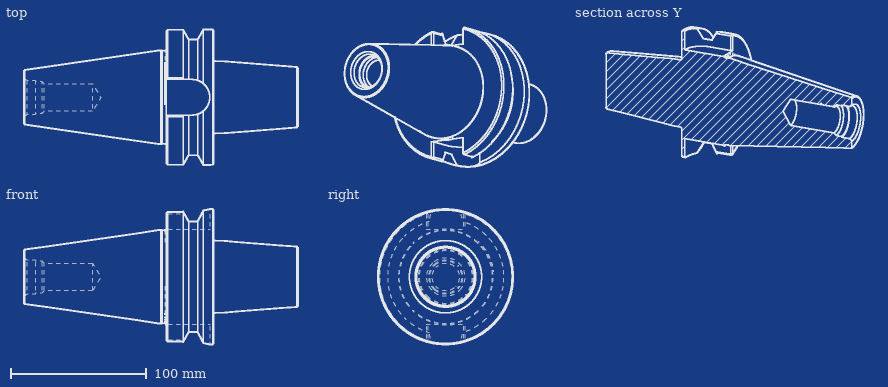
import cadquery as cq
import math

total_length = 201.8

gauge_x = 101.7
gauge_radius = 35.0
taper_slope = 7 / 48
taper_end_x = 100.7
small_end_chamfer = 0.6
relief_radius = 34.3
relief_ramp = 1.2
relief_root_fillet = 1.2

flange_start_x = 104.7
flange_end_x = 139.6
flange_radius = 49.95
front_rim_radius = 49.8
front_rim_chamfer = 1.2
back_rim_chamfer = 0.8
groove_radius = 42.8
groove_floor_start_x = 121.3
groove_floor_end_x = 128.0
groove_flank_slope = math.tan(math.radians(60))

nose_radius = 26.6
nose_straight_end_x = 146.5
nose_taper_angle = 4.5
nose_end_chamfer = 1.0
nose_root_fillet = 1.2

slot_half_width = 13.1
slot_end_x = 136.8
slot_floor_z = 35.1
slot_edge_chamfer = 1.2

mouth_radius = 14.1
mouth_chamfer_depth = 2.0
counterbore_radius = 12.5
counterbore_depth = 8.5
pilot_radius = 12.0
pilot_depth = 13.0
pilot_shoulder_length = 1.8
drill_radius = 10.0
drill_depth = 50.5
drill_tip_angle = 118

groove_front_x = groove_floor_start_x - (front_rim_radius - groove_radius) / groove_flank_slope
groove_back_x = groove_floor_end_x + (flange_radius - groove_radius) / groove_flank_slope
slot_top_z = flange_radius + 2.0


def taper_radius(x):
    """Radius of the long taper at position x."""
    return gauge_radius - (gauge_x - x) * taper_slope


def nose_radius_at(x):
    """Radius of the tapered stretch of the nose at position x."""
    return nose_radius - (x - nose_straight_end_x) * math.tan(math.radians(nose_taper_angle))


def make_body():
    """Revolve the outer profile: taper, flange with groove, nose."""
    nose_chamfer_x = total_length - nose_end_chamfer
    profile = (
        cq.Workplane("XY")
        .moveTo(0, 0)
        .lineTo(0, taper_radius(0) - small_end_chamfer)
        .lineTo(small_end_chamfer, taper_radius(small_end_chamfer))
        .lineTo(taper_end_x, taper_radius(taper_end_x))
        .lineTo(taper_end_x + relief_ramp, relief_radius)
        .lineTo(flange_start_x - relief_root_fillet, relief_radius)
        .radiusArc((flange_start_x, relief_radius + relief_root_fillet), -relief_root_fillet)
        .lineTo(flange_start_x, front_rim_radius - front_rim_chamfer)
        .lineTo(flange_start_x + front_rim_chamfer, front_rim_radius)
        .lineTo(groove_front_x, front_rim_radius)
        .lineTo(groove_floor_start_x, groove_radius)
        .lineTo(groove_floor_end_x, groove_radius)
        .lineTo(groove_back_x, flange_radius)
        .lineTo(flange_end_x - back_rim_chamfer, flange_radius)
        .lineTo(flange_end_x, flange_radius - back_rim_chamfer)
        .lineTo(flange_end_x, nose_radius + nose_root_fillet)
        .radiusArc((flange_end_x + nose_root_fillet, nose_radius), -nose_root_fillet)
        .lineTo(nose_straight_end_x, nose_radius)
        .lineTo(nose_chamfer_x, nose_radius_at(nose_chamfer_x))
        .lineTo(total_length, nose_radius_at(total_length) - nose_end_chamfer)
        .lineTo(total_length, 0)
        .close()
    )
    return profile.revolve(360, (0, 0, 0), (1, 0, 0))


def make_bore():
    """Revolve the stepped bore with its conical drill tip."""
    tip_depth = drill_depth + drill_radius / math.tan(math.radians(drill_tip_angle / 2))
    profile = (
        cq.Workplane("XY")
        .moveTo(0, 0)
        .lineTo(0, mouth_radius)
        .lineTo(mouth_chamfer_depth, counterbore_radius)
        .lineTo(counterbore_depth, counterbore_radius)
        .lineTo(counterbore_depth, pilot_radius)
        .lineTo(pilot_depth, pilot_radius)
        .lineTo(pilot_depth + pilot_shoulder_length, drill_radius)
        .lineTo(drill_depth, drill_radius)
        .lineTo(tip_depth, 0)
        .close()
    )
    return profile.revolve(360, (0, 0, 0), (1, 0, 0))


def make_slot():
    """Round-ended +Z driving slot with chamfers along its front and outer edges."""
    height = slot_top_z - slot_floor_z
    arc_center_x = slot_end_x - slot_half_width
    mouth_half_width = slot_half_width + slot_edge_chamfer
    channel = (
        cq.Workplane("XY")
        .workplane(offset=slot_floor_z)
        .moveTo(flange_start_x, -mouth_half_width)
        .lineTo(flange_start_x + slot_edge_chamfer, -slot_half_width)
        .lineTo(arc_center_x, -slot_half_width)
        .threePointArc((slot_end_x, 0), (arc_center_x, slot_half_width))
        .lineTo(flange_start_x + slot_edge_chamfer, slot_half_width)
        .lineTo(flange_start_x, mouth_half_width)
        .close()
        .extrude(height)
    )
    flare_start_z = math.sqrt(front_rim_radius**2 - mouth_half_width**2) - slot_edge_chamfer
    flare_rise = slot_top_z - flare_start_z
    flare = (
        cq.Workplane("YZ")
        .workplane(offset=flange_start_x)
        .moveTo(-slot_half_width, flare_start_z)
        .lineTo(slot_half_width, flare_start_z)
        .lineTo(slot_half_width + flare_rise, slot_top_z)
        .lineTo(-slot_half_width - flare_rise, slot_top_z)
        .close()
        .extrude(groove_front_x - flange_start_x)
    )
    return channel.union(flare)


result = make_body().cut(make_bore())
slot = make_slot()
for slot_angle in (0, 180):
    result = result.cut(slot.rotate((0, 0, 0), (1, 0, 0), slot_angle))